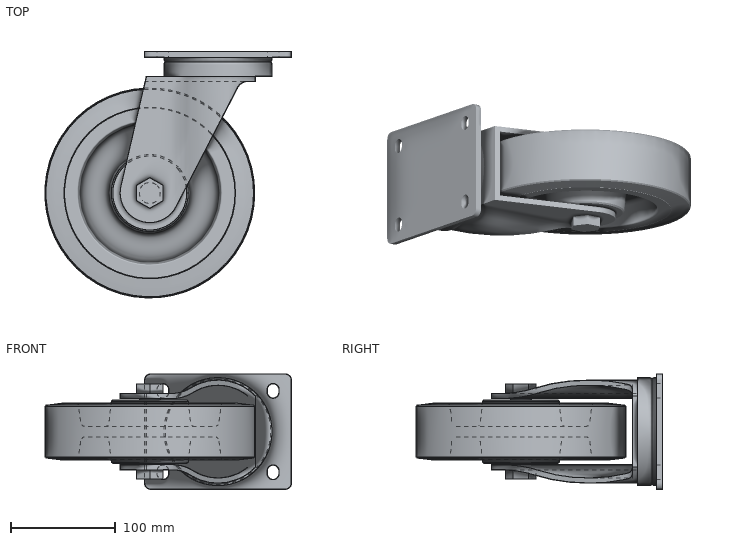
import cadquery as cq
import math


wheel_radius = 100.0
plate_top = 235 - wheel_radius
plate_length = 140.0
plate_width = 110.0
plate_thickness = 5.9
plate_corner_radius = 6.0
swivel_x = plate_top - plate_length / 2
slot_width = 11.0
slot_length = 13.6
slot_spacing_x = 105.0
slot_spacing_z = 77.5

race_radius = 51.5
race_bottom = 111.2
race_groove_depth = 1.2
race_groove_low = 122.2
race_groove_middle = 125.0
race_groove_high = 127.8

fork_thickness = 5.0
fork_half_width = 36.5
fork_dome_radius = 49.0
fork_bend_x = 21.6
fork_end_radius = 28.2
fork_back_x = -3.3
fork_front_x = 100.5
fork_slope_top_x = 86.7
fork_front_fillet = 10.5

tread_edge_half_width = 25.1
tread_edge_chamfer = 1.2
rim_half_width = 27.3
tread_inner_radius = 162.5 / 2
tread_seam_width = 0.5
tread_seam_depth = 0.5
rim_mouth_radius = 68.5
rim_root_radius = 65.3
rim_edge_fillet = 1.2
rim_root_fillet = 4.2
web_half_width = 5.0
hub_half_width = 30.3
hub_top_radius = 36.7
hub_root_radius = 39.2
hub_edge_chamfer = 1.5
hub_root_fillet = 3.5

axle_radius = 20.0 / 2
hex_across_flats = 25.4
hex_height = 9.0


def make_plate():
    plate = (
        cq.Workplane("XY")
        .box(plate_length, plate_thickness, plate_width)
        .edges("|Y")
        .fillet(plate_corner_radius)
    )
    slots = (
        cq.Workplane("XZ")
        .rarray(slot_spacing_x, slot_spacing_z, 2, 2)
        .slot2D(slot_length, slot_width, 90)
        .extrude(plate_thickness, both=True)
    )
    return plate.cut(slots).translate((swivel_x, plate_top - plate_thickness / 2, 0))


def make_race(flat_end, lip_start):
    """Disc from flat_end to the groove, whose rim starts to round off at lip_start."""
    race = (
        cq.Workplane("XY")
        .moveTo(0, flat_end)
        .lineTo(race_radius, flat_end)
        .lineTo(race_radius, lip_start)
        .tangentArcPoint((race_radius - race_groove_depth, race_groove_middle), relative=False)
        .lineTo(0, race_groove_middle)
        .close()
        .revolve(360, (0, 0), (0, 1))
    )
    return race.translate((swivel_x, 0, 0))


def make_swivel_bearing():
    lower_race = make_race(race_bottom, race_groove_low)
    upper_race = make_race(plate_top - plate_thickness, race_groove_high)
    return lower_race.union(upper_race)


def fork_section(half_width, dome_radius, top):
    """Solid bounded by two flat flanks that bend tangentially into a dome round the swivel axis."""
    run = swivel_x - fork_bend_x
    bend_radius = (run**2 + half_width**2 - dome_radius**2) / (2 * (dome_radius - half_width))
    centre_distance = bend_radius + dome_radius
    join_x = fork_bend_x + run * bend_radius / centre_distance
    join_z = (half_width + bend_radius) * dome_radius / centre_distance
    half_angle = math.asin(run / centre_distance) / 2
    middle_x = fork_bend_x + bend_radius * math.sin(half_angle)
    middle_z = half_width + bend_radius * (1 - math.cos(half_angle))
    start_x = -2 * fork_end_radius
    bottom = -2 * fork_end_radius
    return (
        cq.Workplane("XZ", origin=(0, bottom, 0))
        .moveTo(start_x, -half_width)
        .lineTo(fork_bend_x, -half_width)
        .threePointArc((middle_x, -middle_z), (join_x, -join_z))
        .threePointArc((swivel_x + dome_radius, 0), (join_x, join_z))
        .threePointArc((middle_x, middle_z), (fork_bend_x, half_width))
        .lineTo(start_x, half_width)
        .close()
        .extrude(bottom - top)
    )


def end_tangent(x, y, side):
    """Point where a line from (x, y) touches the round fork end; side is +1 or -1 for +X or -X."""
    angle = math.atan2(y, x) - side * math.acos(fork_end_radius / math.hypot(x, y))
    return fork_end_radius * math.cos(angle), fork_end_radius * math.sin(angle)


def make_fork():
    crown_bottom = race_bottom - fork_thickness
    outline = (
        cq.Workplane("XY", origin=(0, 0, -plate_width / 2))
        .moveTo(fork_back_x, race_bottom)
        .lineTo(*end_tangent(fork_back_x, race_bottom, -1))
        .threePointArc((0, -fork_end_radius), end_tangent(fork_slope_top_x, crown_bottom, 1))
        .lineTo(fork_slope_top_x, crown_bottom)
        .lineTo(fork_front_x, crown_bottom)
        .lineTo(fork_front_x, race_bottom)
        .close()
        .extrude(plate_width)
    )
    corner = cq.selectors.NearestToPointSelector((fork_slope_top_x, crown_bottom, 0))
    outline = outline.edges("|Z").edges(corner).fillet(fork_front_fillet)
    outside = fork_section(fork_half_width, fork_dome_radius, race_bottom)
    inside = fork_section(
        fork_half_width - fork_thickness, fork_dome_radius - fork_thickness, crown_bottom
    )
    return outside.intersect(outline).cut(inside)


def revolve_about_axle(profile):
    """Revolve a (radius, z) profile about Z and mirror it to the other side of the wheel."""
    half = cq.Workplane("XZ").polyline(profile).close().revolve(360, (0, 0), (0, 1))
    return half.union(half.mirror("XY"))


def circle_edges(body, radius, half_width):
    """Find the circular edges of a given radius, one at each side of the wheel."""
    tolerance = 0.02
    edges = []
    for z in (-half_width, half_width):
        for edge in body.edges("%CIRCLE").vals():
            same_radius = abs(edge.radius() - radius) < tolerance
            if same_radius and abs(edge.Center().z - z) < tolerance:
                edges.append(edge)
    return body.newObject(edges)


def make_wheel():
    wheel = revolve_about_axle([
        (0, 0),
        (wheel_radius, 0),
        (wheel_radius, tread_edge_half_width - tread_edge_chamfer),
        (wheel_radius - tread_edge_chamfer, tread_edge_half_width),
        (tread_inner_radius + tread_seam_width, rim_half_width),
        (tread_inner_radius, rim_half_width - tread_seam_depth),
        (tread_inner_radius, rim_half_width),
        (rim_mouth_radius, rim_half_width),
        (rim_root_radius, web_half_width),
        (hub_root_radius, web_half_width),
        (hub_top_radius, hub_half_width - hub_edge_chamfer),
        (hub_top_radius - hub_edge_chamfer, hub_half_width),
        (0, hub_half_width),
    ])
    wheel = circle_edges(wheel, rim_mouth_radius, rim_half_width).fillet(rim_edge_fillet)
    wheel = circle_edges(wheel, rim_root_radius, web_half_width).fillet(rim_root_fillet)
    return circle_edges(wheel, hub_root_radius, web_half_width).fillet(hub_root_fillet)


def make_axle():
    axle = cq.Workplane("XY").circle(axle_radius).extrude(fork_half_width, both=True)
    across_corners = hex_across_flats / math.cos(math.pi / 6)
    head = (
        cq.Workplane("XY", origin=(0, 0, fork_half_width))
        .transformed(rotate=(0, 0, 90))
        .polygon(6, across_corners)
        .extrude(hex_height)
    )
    return axle.union(head).union(head.mirror("XY"))


result = (
    make_plate()
    .union(make_swivel_bearing())
    .union(make_fork())
    .union(make_axle())
    .union(make_wheel())
)